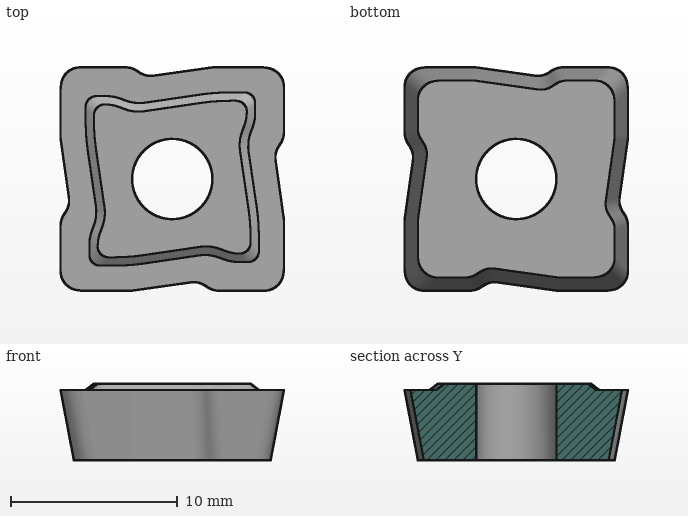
import cadquery as cq
import math

SIDES = 4

overall_height = 4.6
body_height = 4.22
half_width = 13.4 / 2
body_inset = 0.8
nose_radius = 1.165
nose_facet_end = 5.41
nose_facet_angle = math.radians(7)
notch_half_length = 2.445
notch_ramp_angle = math.radians(8)
notch_return_angle = math.radians(33)
notch_radius = 1.2

breaker_long_level = 5.19
breaker_short_level = 4.97
breaker_inset = 0.5
breaker_corner_radius = 0.65
breaker_ramp_start = -2.57
breaker_return_end = 3.5
breaker_ramp_angle = math.radians(8.35)
breaker_return_angle = math.radians(21)
breaker_bend_radius = 12.0
breaker_wave_radius = 2.4

hole_diameter = 4.8


def notch_apex(ramp_start, ramp_angle, return_end, return_angle):
    """Point where the ramp rising from one flat meets the return falling to the other."""
    ramp_slope = math.tan(ramp_angle)
    return_slope = math.tan(return_angle)
    length = return_end[0] - ramp_start[0]
    drop = return_end[1] - ramp_start[1]
    run = (drop + return_slope * length) / (ramp_slope + return_slope)
    return ramp_start[0] + run, ramp_start[1] + run * ramp_slope


def body_side():
    """Body corners as (point, rounding radius, inset of the edge that follows)."""
    nose = (-half_width, -half_width + (half_width - nose_facet_end) * math.tan(nose_facet_angle))
    facet_end = (-nose_facet_end, -half_width)
    ramp_start = (-notch_half_length, -half_width)
    return_end = (notch_half_length, -half_width)
    apex = notch_apex(ramp_start, notch_ramp_angle, return_end, notch_return_angle)
    facet_inset = body_inset * (math.cos(nose_facet_angle) + math.sin(nose_facet_angle))
    return [
        (nose, nose_radius, facet_inset),
        (facet_end, 0, body_inset),
        (ramp_start, notch_radius, body_inset),
        (apex, notch_radius, body_inset),
        (return_end, notch_radius, body_inset),
    ]


def breaker_side():
    """Chip breaker corners as (point, rounding radius, inset of the edge that follows)."""
    corner = (-breaker_short_level, -breaker_long_level)
    ramp_start = (breaker_ramp_start, -breaker_long_level)
    return_end = (breaker_return_end, -breaker_short_level)
    apex = notch_apex(ramp_start, breaker_ramp_angle, return_end, breaker_return_angle)
    return [
        (corner, breaker_corner_radius, breaker_inset),
        (ramp_start, breaker_bend_radius, breaker_inset),
        (apex, breaker_wave_radius, breaker_inset),
        (return_end, breaker_wave_radius, breaker_inset),
    ]


def full_outline(side):
    """Repeat one side around the centre, counter-clockwise."""
    corners = []
    for index in range(SIDES):
        turn = 2 * math.pi / SIDES * index
        for (x, y), radius, inset in side:
            turned_x = x * math.cos(turn) - y * math.sin(turn)
            turned_y = x * math.sin(turn) + y * math.cos(turn)
            corners.append((cq.Vector(turned_x, turned_y), radius, inset))
    return corners


def inset_corners(corners):
    """Move every edge inwards by its own inset and return the new corners."""
    moved = []
    for index, (point, radius, inset_after) in enumerate(corners):
        previous_point, _, inset_before = corners[index - 1]
        next_point = corners[(index + 1) % len(corners)][0]
        before = (point - previous_point).normalized()
        after = (next_point - point).normalized()
        turn_sine = before.cross(after).z
        shift = before * (-inset_after / turn_sine) + after * (inset_before / turn_sine)
        moved.append((point + shift, radius, inset_after))
    return moved


def rounded_wire(corners, height):
    """Closed wire at the given height, each corner rounded by a tangent arc."""
    lift = cq.Vector(0, 0, height)
    rounds = []
    for index, (point, radius, _) in enumerate(corners):
        before = (point - corners[index - 1][0]).normalized()
        after = (corners[(index + 1) % len(corners)][0] - point).normalized()
        half_turn = before.getAngle(after) / 2
        reach = radius * math.tan(half_turn)
        arc_depth = radius * (1 / math.cos(half_turn) - 1)
        inward = (after - before).normalized()
        start = point - before * reach + lift
        middle = point + inward * arc_depth + lift
        end = point + after * reach + lift
        rounds.append((start, middle, end, radius))

    edges = []
    for index, (start, middle, end, radius) in enumerate(rounds):
        edges.append(cq.Edge.makeLine(rounds[index - 1][2], start))
        if radius > 0:
            edges.append(cq.Edge.makeThreePointArc(start, middle, end))
    return cq.Wire.assembleEdges(edges)


def leaning_prism(side, wide_height, narrow_height):
    """Solid between the outline at one height and its inset copy at the other."""
    corners = full_outline(side)
    wide = rounded_wire(corners, wide_height)
    narrow = rounded_wire(inset_corners(corners), narrow_height)
    return cq.Workplane(cq.Solid.makeLoft([wide, narrow], True))


body = leaning_prism(body_side(), body_height, 0)
breaker = leaning_prism(breaker_side(), body_height, overall_height)
hole = cq.Workplane("XY").circle(hole_diameter / 2).extrude(overall_height)

result = body.union(breaker).cut(hole)